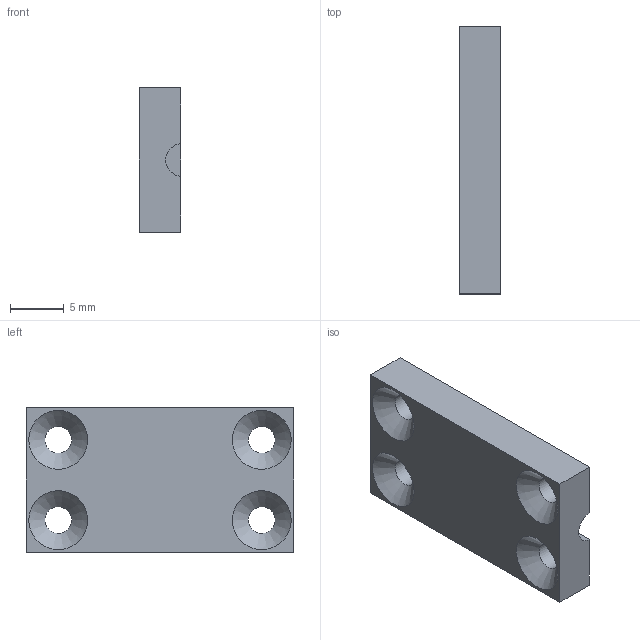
import cadquery as cq

thickness = 3.9
length = 25.0
height = 13.5

hole_diameter = 2.5
countersink_diameter = 5.5
countersink_angle = 90.0
hole_edge_distance = 3.0
hole_spacing_y = length - 2 * hole_edge_distance
hole_spacing_z = height - 2 * hole_edge_distance

groove_radius = 1.525
groove_axis_offset = 0.1
groove_length = length / 2


def make_plate():
    return cq.Workplane("XY").box(thickness, length, height)


def cut_screw_holes(body):
    """Through holes along X, countersunk from the -X face."""
    return (
        body.faces("<X")
        .workplane(centerOption="CenterOfBoundBox")
        .rarray(hole_spacing_y, hole_spacing_z, 2, 2)
        .cskHole(hole_diameter, countersink_diameter, countersink_angle)
    )


def make_groove_cutter():
    """Cylinder along Y whose axis lies just outside the +X face."""
    axis_x = thickness / 2 + groove_axis_offset
    return (
        cq.Workplane("XZ", origin=(axis_x, -length / 2, 0))
        .circle(groove_radius)
        .extrude(-groove_length)
    )


plate = cut_screw_holes(make_plate())
result = plate.cut(make_groove_cutter())